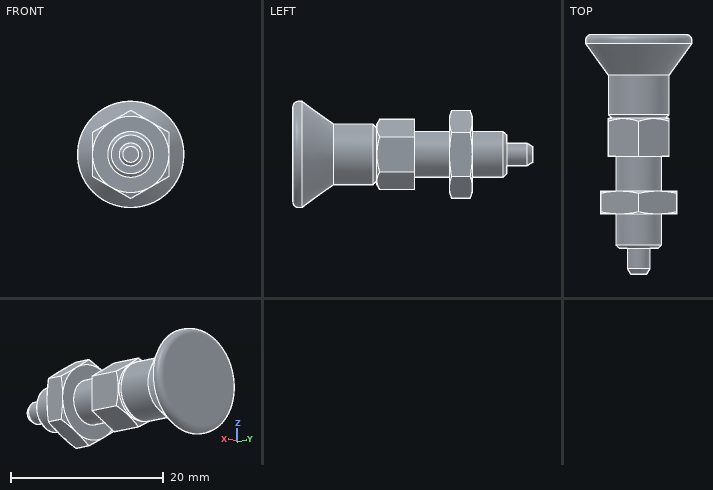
import cadquery as cq
import math

TOTAL_LENGTH = 31.5

KNOB_CONE_START = 1.2
KNOB_CONE_END = 5.35
HEX_START = 11.0
HEX_LENGTH = 5.0
NUT_START = 20.57
NUT_THICKNESS = 3.0
SHANK_END = 28.1

KNOB_DIAMETER = 14.0
KNOB_RIM_FILLET = 0.8
COLLAR_DIAMETER = 8.0
COLLAR_CHAMFER = 0.47

HEX_ACROSS_FLATS = 8.0
HEX_FACE_DIAMETER = 7.8
HEX_CHAMFER_ANGLE = 30.0
NUT_ACROSS_FLATS = 10.02
NUT_FACE_DIAMETER = NUT_ACROSS_FLATS
NUT_CHAMFER_ANGLE = 20.0

SHANK_DIAMETER = 6.02
SHANK_CHAMFER = 0.47
PIN_DIAMETER = 3.0
PIN_TIP_DIAMETER = 2.08
PIN_TIP_LENGTH = 0.75


def revolve_profile(points):
    """Revolve (radius, distance from knob face) points about the axis."""
    outline = [(radius, -distance) for radius, distance in points]
    return cq.Workplane("XY").polyline(outline).close().revolve(360, (0, 0), (0, 1))


def hexagon(start, length, across_flats):
    """Hexagonal prism with flats facing +X and -X and corners at +Z and -Z."""
    corner_diameter = across_flats / math.cos(math.pi / 6)
    return (
        cq.Workplane("XZ", origin=(0, -start, 0))
        .transformed(rotate=(0, 0, 90))
        .polygon(6, corner_diameter)
        .extrude(length)
    )


def chamfer_cone_depth(across_flats, face_diameter, angle):
    """Axial depth of a conical corner chamfer at the hexagon corners."""
    corner_radius = across_flats / 2 / math.cos(math.pi / 6)
    return (corner_radius - face_diameter / 2) * math.tan(math.radians(angle))


def make_knob():
    knob_radius = KNOB_DIAMETER / 2
    collar_radius = COLLAR_DIAMETER / 2
    knob = revolve_profile([
        (0, 0),
        (knob_radius, 0),
        (knob_radius, KNOB_CONE_START),
        (collar_radius, KNOB_CONE_END),
        (collar_radius, HEX_START - COLLAR_CHAMFER),
        (collar_radius - COLLAR_CHAMFER, HEX_START),
        (0, HEX_START),
    ])
    return knob.faces(">Y").edges().fillet(KNOB_RIM_FILLET)


def make_body_hex():
    """Body hexagon, with corners chamfered on the knob side only."""
    corner_radius = HEX_ACROSS_FLATS / 2 / math.cos(math.pi / 6)
    depth = chamfer_cone_depth(HEX_ACROSS_FLATS, HEX_FACE_DIAMETER, HEX_CHAMFER_ANGLE)
    hex_end = HEX_START + HEX_LENGTH
    envelope = revolve_profile([
        (0, HEX_START),
        (HEX_FACE_DIAMETER / 2, HEX_START),
        (corner_radius, HEX_START + depth),
        (corner_radius, hex_end),
        (0, hex_end),
    ])
    return hexagon(HEX_START, HEX_LENGTH, HEX_ACROSS_FLATS).intersect(envelope)


def make_lock_nut():
    """Lock nut, with corners chamfered on both sides."""
    corner_radius = NUT_ACROSS_FLATS / 2 / math.cos(math.pi / 6)
    depth = chamfer_cone_depth(NUT_ACROSS_FLATS, NUT_FACE_DIAMETER, NUT_CHAMFER_ANGLE)
    nut_end = NUT_START + NUT_THICKNESS
    envelope = revolve_profile([
        (0, NUT_START),
        (NUT_FACE_DIAMETER / 2, NUT_START),
        (corner_radius, NUT_START + depth),
        (corner_radius, nut_end - depth),
        (NUT_FACE_DIAMETER / 2, nut_end),
        (0, nut_end),
    ])
    return hexagon(NUT_START, NUT_THICKNESS, NUT_ACROSS_FLATS).intersect(envelope)


def make_shank_and_pin():
    shank_radius = SHANK_DIAMETER / 2
    pin_radius = PIN_DIAMETER / 2
    return revolve_profile([
        (0, HEX_START),
        (shank_radius, HEX_START),
        (shank_radius, SHANK_END - SHANK_CHAMFER),
        (shank_radius - SHANK_CHAMFER, SHANK_END),
        (pin_radius, SHANK_END),
        (pin_radius, TOTAL_LENGTH - PIN_TIP_LENGTH),
        (PIN_TIP_DIAMETER / 2, TOTAL_LENGTH),
        (0, TOTAL_LENGTH),
    ])


result = (
    make_knob()
    .union(make_body_hex())
    .union(make_shank_and_pin())
    .union(make_lock_nut())
)